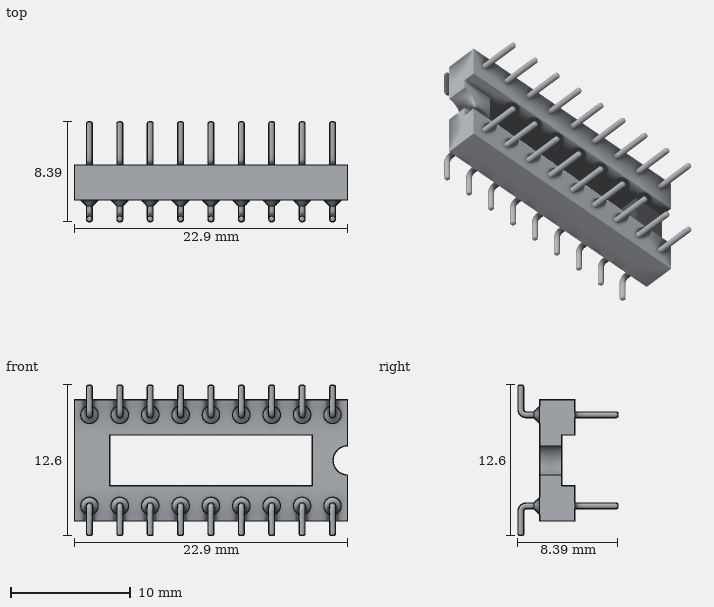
import cadquery as cq

body_length = 22.85
pins_per_row = 9
pitches_between_rows = 3
pitches_in_body_height = 4
body_depth = 2.95
pin_diameter = 0.5
tip_rounding = 0.18
back_pin_reach = 3.61
front_pin_reach = 1.83
overall_height = 12.6
bend_radius = 0.45
collar_height = 0.48
collar_base_radius = 0.73
end_frame_width = 2.97
window_height = 4.2
channel_depth = 1.1
notch_radius = 1.21

pitch = body_length / pins_per_row
row_spacing = pitches_between_rows * pitch
body_height = pitches_in_body_height * pitch
window_length = body_length - 2 * end_frame_width
pin_radius = pin_diameter / 2


def make_body():
    """Rectangular frame with a window, a back channel and an end notch."""
    body_center = (0, body_depth / 2, 0)
    body = cq.Workplane("XY").box(body_length, body_depth, body_height).translate(body_center)
    window = cq.Workplane("XY").box(window_length, body_depth, window_height).translate(body_center)
    channel = (
        cq.Workplane("XY")
        .box(body_length, channel_depth, window_height)
        .translate((0, body_depth - channel_depth / 2, 0))
    )
    notch = (
        cq.Workplane("XZ", origin=(body_length / 2, 0, 0))
        .circle(notch_radius)
        .extrude(-body_depth)
    )
    return body.cut(window).cut(channel).cut(notch)


def make_upper_pin():
    """Pin along Y through z = 0, its front end bent upward, with a conical collar."""
    back_end = body_depth + back_pin_reach
    leg_y = pin_radius - front_pin_reach
    bend_start_y = leg_y + bend_radius
    leg_tip_z = (overall_height - row_spacing) / 2
    center_line = (
        cq.Workplane("YZ")
        .moveTo(back_end, 0)
        .lineTo(bend_start_y, 0)
        .tangentArcPoint((leg_y, bend_radius), relative=False)
        .lineTo(leg_y, leg_tip_z)
    )
    pin = cq.Workplane("XZ", origin=(0, back_end, 0)).circle(pin_radius).sweep(center_line)
    pin = pin.faces(">Y").edges().fillet(tip_rounding)
    pin = pin.faces(">Z").edges().fillet(tip_rounding)

    collar = (
        cq.Workplane("XY")
        .polyline([(0, 0), (collar_base_radius, 0), (pin_radius, -collar_height), (0, -collar_height)])
        .close()
        .revolve(360, (0, 0, 0), (0, 1, 0))
    )
    return pin.union(collar)


upper_pin = make_upper_pin()
lower_pin = upper_pin.mirror("XY")

result = make_body()
for index in range(pins_per_row):
    pin_x = (index - (pins_per_row - 1) / 2) * pitch
    result = result.union(upper_pin.translate((pin_x, 0, row_spacing / 2)))
    result = result.union(lower_pin.translate((pin_x, 0, -row_spacing / 2)))